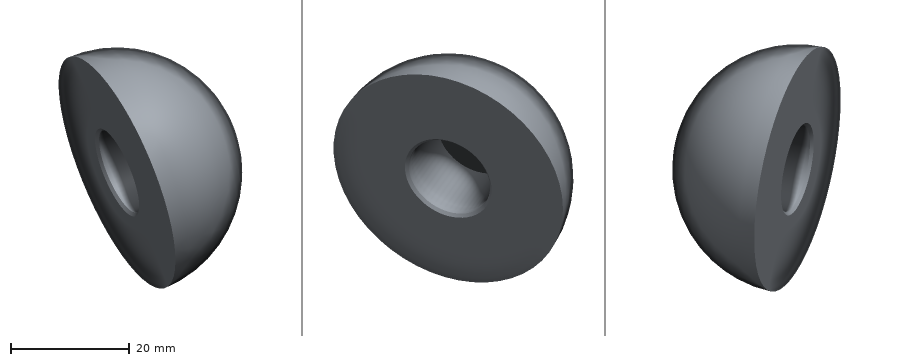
import cadquery as cq

ball_diameter = 42.4
ball_radius = ball_diameter / 2

hole_diameter = 15.0
hole_depth = 12.7
mouth_chamfer = 0.5


def half_ball():
    """Quarter-disc profile revolved about the Y axis."""
    profile = (
        cq.Workplane("XY")
        .lineTo(ball_radius, 0)
        .radiusArc((0, ball_radius), -ball_radius)
        .close()
    )
    return profile.revolve(360, (0, 0), (0, 1))


def chamfered_hole():
    """Solid to remove: a flat-bottomed hole with a 45 degree chamfered mouth."""
    hole_radius = hole_diameter / 2
    profile = (
        cq.Workplane("XY")
        .lineTo(hole_radius + mouth_chamfer, 0)
        .lineTo(hole_radius, mouth_chamfer)
        .lineTo(hole_radius, hole_depth)
        .lineTo(0, hole_depth)
        .close()
    )
    return profile.revolve(360, (0, 0), (0, 1))


result = half_ball().cut(chamfered_hole())